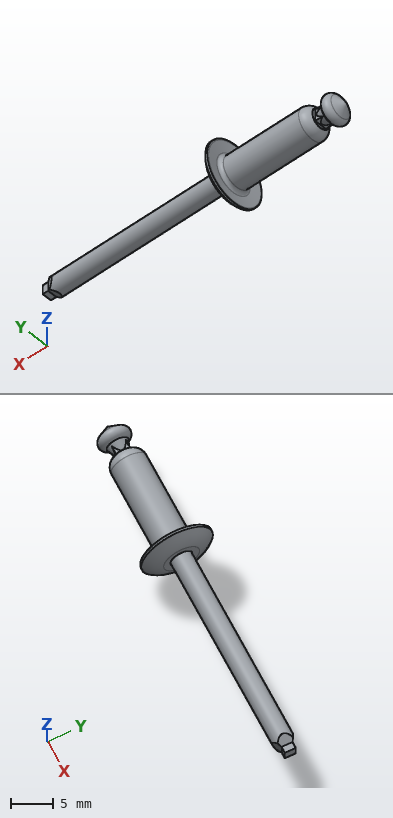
import cadquery as cq
import math

TOTAL_LENGTH = 48.55
HEAD_TIP_X = -TOTAL_LENGTH / 2

CONE_LENGTH = 1.0
CONE_RADIUS = 3.35 / 2
BULB_RADIUS = 2.2
BULB_CREST_X = HEAD_TIP_X + 1.8
HEAD_BACK_X = HEAD_TIP_X + 2.65
HEAD_BACK_RADIUS = 1.45

NECK_SIDE = 1.9
NECK_CONE_LENGTH = 1.35

STEM_RADIUS = 2.8 / 2
TIP_SIDE = 1.45
TIP_LENGTH = 0.85
TAPER_LENGTH = 1.2

SLEEVE_START_X = HEAD_TIP_X + 4.2
SLEEVE_RADIUS = 4.75 / 2
BORE_RADIUS = 2.9 / 2
NOSE_RADIUS = 1.5

FLANGE_RADIUS = 9.5 / 2
FLANGE_UNDER_X = HEAD_TIP_X + 18.15
RIM_THICKNESS = 0.35
LIP_WIDTH = 0.2
FLANGE_HEIGHT = 1.45
DOME_MID_HEIGHT = 1.25
DOME_MID_RADIUS = 3.35
DISH_DEPTH = 0.2
ROOT_FILLET = 0.55

STEM_START_X = SLEEVE_START_X
STEM_END_X = HEAD_TIP_X + TOTAL_LENGTH - TIP_LENGTH


def revolve_about_x(profile):
    """Turn a closed (axial, radial) profile around the X axis."""
    return profile.close().revolve(360, (0, 0, 0), (1, 0, 0))


def square_bar(side, start_x, end_x):
    """Square bar on the X axis, with faces square to Y and Z."""
    return cq.Workplane("YZ", origin=(start_x, 0, 0)).rect(side, side).extrude(end_x - start_x)


def make_head():
    return revolve_about_x(
        cq.Workplane("XY")
        .moveTo(HEAD_TIP_X, 0)
        .lineTo(HEAD_TIP_X + CONE_LENGTH, CONE_RADIUS)
        .threePointArc((BULB_CREST_X, BULB_RADIUS), (HEAD_BACK_X, HEAD_BACK_RADIUS))
        .lineTo(HEAD_BACK_X, 0)
    )


def make_neck():
    cone = revolve_about_x(
        cq.Workplane("XY")
        .moveTo(HEAD_BACK_X, 0)
        .lineTo(HEAD_BACK_X, HEAD_BACK_RADIUS)
        .lineTo(HEAD_BACK_X + NECK_CONE_LENGTH, NECK_SIDE / 2)
        .lineTo(HEAD_BACK_X + NECK_CONE_LENGTH, 0)
    )
    return cone.union(square_bar(NECK_SIDE, HEAD_BACK_X, STEM_START_X))


def make_stem():
    rod = cq.Workplane("YZ", origin=(STEM_START_X, 0, 0)).circle(STEM_RADIUS)
    rod = rod.extrude(STEM_END_X - STEM_START_X)
    taper_start_x = STEM_END_X - TAPER_LENGTH
    taper = (
        cq.Workplane("YZ", origin=(taper_start_x, 0, 0))
        .rect(2 * STEM_RADIUS, 2 * STEM_RADIUS)
        .workplane(offset=TAPER_LENGTH)
        .rect(TIP_SIDE, TIP_SIDE)
        .loft(ruled=True)
    )
    envelope = square_bar(2 * STEM_RADIUS, STEM_START_X, taper_start_x).union(taper)
    return rod.intersect(envelope).union(square_bar(TIP_SIDE, STEM_END_X, STEM_END_X + TIP_LENGTH))


def make_mandrel():
    return make_head().union(make_neck()).union(make_stem())


def make_sleeve():
    nose_center_radius = SLEEVE_RADIUS - NOSE_RADIUS
    rim_angle = math.asin((BORE_RADIUS - nose_center_radius) / NOSE_RADIUS)
    nose_center_x = SLEEVE_START_X + NOSE_RADIUS * math.cos(rim_angle)
    mid_angle = (rim_angle + math.pi / 2) / 2
    nose_mid = (
        nose_center_x - NOSE_RADIUS * math.cos(mid_angle),
        nose_center_radius + NOSE_RADIUS * math.sin(mid_angle),
    )

    dish_bottom_x = FLANGE_UNDER_X + DISH_DEPTH
    fillet_start_x = dish_bottom_x - ROOT_FILLET
    fillet_mid = (
        fillet_start_x + ROOT_FILLET * math.sin(math.pi / 4),
        SLEEVE_RADIUS + ROOT_FILLET * (1 - math.cos(math.pi / 4)),
    )

    flange_top_x = FLANGE_UNDER_X + FLANGE_HEIGHT
    return revolve_about_x(
        cq.Workplane("XY")
        .moveTo(SLEEVE_START_X, BORE_RADIUS)
        .threePointArc(nose_mid, (nose_center_x, SLEEVE_RADIUS))
        .lineTo(fillet_start_x, SLEEVE_RADIUS)
        .threePointArc(fillet_mid, (dish_bottom_x, SLEEVE_RADIUS + ROOT_FILLET))
        .lineTo(FLANGE_UNDER_X, FLANGE_RADIUS - LIP_WIDTH)
        .lineTo(FLANGE_UNDER_X, FLANGE_RADIUS)
        .lineTo(FLANGE_UNDER_X + RIM_THICKNESS, FLANGE_RADIUS)
        .threePointArc((FLANGE_UNDER_X + DOME_MID_HEIGHT, DOME_MID_RADIUS), (flange_top_x, SLEEVE_RADIUS))
        .lineTo(flange_top_x, BORE_RADIUS)
    )


mandrel = make_mandrel()
sleeve = make_sleeve()

result = cq.Compound.makeCompound([mandrel.val(), sleeve.val()])